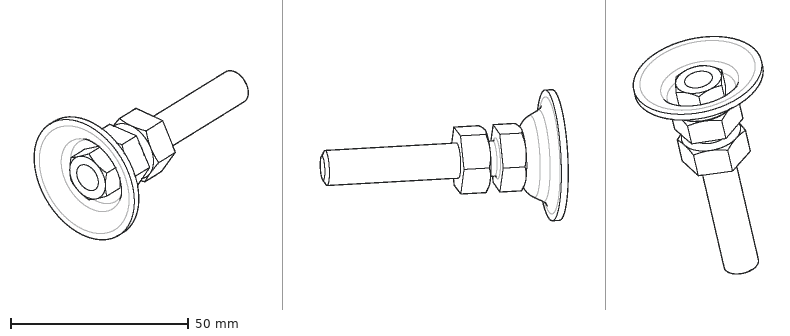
import cadquery as cq
import math

TOTAL_LENGTH = 67.0

RIM_DIAMETER = 37.0
CUP_HEIGHT = 10.0
SHEET_THICKNESS = 2.0
DOME_CENTRE_RADIUS = 6.3
DOME_OUTER_RADIUS = 6.0
FLARE_CENTRE_RADIUS = 16.55
FLARE_OUTER_RADIUS = 4.0

STUD_DIAMETER = 10.0
STUD_TIP_CHAMFER_HEIGHT = 1.0
STUD_TIP_CHAMFER_WIDTH = 1.55
COLLAR_HEIGHT = 7.05
COLLAR_FILLET = 0.8
TAIL_DIAMETER = 8.0

LARGE_ACROSS_FLATS = 17.0
LARGE_NUT_BOTTOM = 20.25
LARGE_NUT_HEIGHT = 8.05
LARGE_NUT_TURN = 1.6
SMALL_ACROSS_FLATS = 13.1
SMALL_NUT_HEIGHT = 6.5
SMALL_NUT_TURN = 30.0
CORNER_CHAMFER_ANGLE = 30.0

COLLAR_TOP = CUP_HEIGHT + COLLAR_HEIGHT
CUP_CEILING = CUP_HEIGHT - SHEET_THICKNESS
CUP_NUT_BOTTOM = CUP_CEILING - SMALL_NUT_HEIGHT


def cylinder(diameter, bottom, top):
    """Solid cylinder on the Y axis between two heights."""
    return cq.Workplane("XZ", origin=(0, bottom, 0)).circle(diameter / 2).extrude(bottom - top)


def hexagon(across_flats, bottom, height, turn=0.0):
    """Hexagonal prism along Y with its lower corners chamfered."""
    corner_radius = across_flats / math.sqrt(3)
    flat_radius = across_flats / 2
    top = bottom + height
    prism = (
        cq.Workplane("XZ", origin=(0, bottom, 0))
        .polygon(6, 2 * corner_radius)
        .extrude(-height)
        .rotate((0, 0, 0), (0, 1, 0), turn)
    )
    chamfer_height = (corner_radius - flat_radius) * math.tan(math.radians(CORNER_CHAMFER_ANGLE))
    chamfer_envelope = (
        cq.Workplane("XY")
        .moveTo(0, bottom)
        .lineTo(flat_radius, bottom)
        .lineTo(corner_radius, bottom + chamfer_height)
        .lineTo(corner_radius, top)
        .lineTo(0, top)
        .close()
        .revolve(360, (0, 0, 0), (0, 1, 0))
    )
    return prism.intersect(chamfer_envelope)


def make_nut(across_flats, bottom, height, bore_diameter, turn):
    """Chamfered hexagon nut with a plain bore."""
    body = hexagon(across_flats, bottom, height, turn)
    return body.cut(cylinder(bore_diameter, bottom, bottom + height))


def make_stud():
    """Stud, collar and tail as one piece, the tail ending flush with the cup nut."""
    radius = STUD_DIAMETER / 2
    shank = (
        cq.Workplane("XY")
        .moveTo(0, COLLAR_TOP)
        .lineTo(radius + COLLAR_FILLET, COLLAR_TOP)
        .radiusArc((radius, COLLAR_TOP + COLLAR_FILLET), COLLAR_FILLET)
        .lineTo(radius, TOTAL_LENGTH - STUD_TIP_CHAMFER_HEIGHT)
        .lineTo(radius - STUD_TIP_CHAMFER_WIDTH, TOTAL_LENGTH)
        .lineTo(0, TOTAL_LENGTH)
        .close()
        .revolve(360, (0, 0, 0), (0, 1, 0))
    )
    collar = hexagon(LARGE_ACROSS_FLATS, CUP_HEIGHT, COLLAR_HEIGHT)
    tail = cylinder(TAIL_DIAMETER, CUP_NUT_BOTTOM, CUP_HEIGHT)
    return collar.union(shank).union(tail)


def make_cup():
    """Sheet cup of constant thickness: dome arc, straight wall, flare arc and rim."""
    dome_y = CUP_HEIGHT - DOME_OUTER_RADIUS
    flare_y = SHEET_THICKNESS + FLARE_OUTER_RADIUS
    centre_dx = FLARE_CENTRE_RADIUS - DOME_CENTRE_RADIUS
    centre_dy = flare_y - dome_y
    wall_normal = math.atan2(centre_dy, centre_dx) + math.acos(
        (DOME_OUTER_RADIUS + FLARE_OUTER_RADIUS) / math.hypot(centre_dx, centre_dy)
    )
    dome_inner_radius = DOME_OUTER_RADIUS - SHEET_THICKNESS
    flare_inner_radius = FLARE_OUTER_RADIUS + SHEET_THICKNESS

    def dome_point(radius, angle):
        return DOME_CENTRE_RADIUS + radius * math.cos(angle), dome_y + radius * math.sin(angle)

    def flare_point(radius, angle):
        return FLARE_CENTRE_RADIUS - radius * math.cos(angle), flare_y - radius * math.sin(angle)

    vertical = math.pi / 2
    arc_middle = (wall_normal + vertical) / 2
    return (
        cq.Workplane("XY")
        .moveTo(TAIL_DIAMETER / 2, CUP_HEIGHT)
        .lineTo(DOME_CENTRE_RADIUS, CUP_HEIGHT)
        .threePointArc(dome_point(DOME_OUTER_RADIUS, arc_middle), dome_point(DOME_OUTER_RADIUS, wall_normal))
        .lineTo(*flare_point(FLARE_OUTER_RADIUS, wall_normal))
        .threePointArc(flare_point(FLARE_OUTER_RADIUS, arc_middle), flare_point(FLARE_OUTER_RADIUS, vertical))
        .lineTo(RIM_DIAMETER / 2, SHEET_THICKNESS)
        .lineTo(RIM_DIAMETER / 2, 0)
        .lineTo(FLARE_CENTRE_RADIUS, 0)
        .threePointArc(flare_point(flare_inner_radius, arc_middle), flare_point(flare_inner_radius, wall_normal))
        .lineTo(*dome_point(dome_inner_radius, wall_normal))
        .threePointArc(dome_point(dome_inner_radius, arc_middle), dome_point(dome_inner_radius, vertical))
        .lineTo(TAIL_DIAMETER / 2, CUP_CEILING)
        .close()
        .revolve(360, (0, 0, 0), (0, 1, 0))
    )


stud = make_stud()
cup = make_cup()
lock_nut = make_nut(LARGE_ACROSS_FLATS, LARGE_NUT_BOTTOM, LARGE_NUT_HEIGHT, STUD_DIAMETER, LARGE_NUT_TURN)
cup_nut = make_nut(
    SMALL_ACROSS_FLATS, CUP_NUT_BOTTOM, SMALL_NUT_HEIGHT, TAIL_DIAMETER, SMALL_NUT_TURN
)

result = cq.Compound.makeCompound([stud.val(), cup.val(), lock_nut.val(), cup_nut.val()])